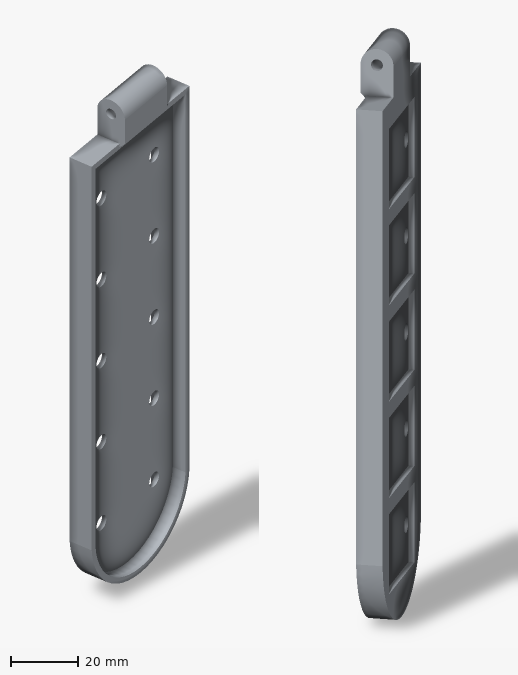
import cadquery as cq

total_height = 180.0
plate_thickness = 8.1
plate_width = 50.0
round_height = 23.2
shoulder_drop = 14.8
shoulder_z = total_height - shoulder_drop

tab_thickness = 10.0
tab_width = 21.6
tab_radius = tab_thickness / 2
pin_z = total_height - tab_radius
pin_hole_diameter = 3.6
tab_overhang = tab_thickness - plate_thickness
overhang_bottom_z = total_height - 16.0

pocket_count = 5
pocket_width = 33.1
pocket_height = 25.0
pocket_depth = 1.8
pocket_pitch = 30.0
pocket_top_margin = 8.1
top_pocket_z = shoulder_z - pocket_top_margin - pocket_height / 2
web_thickness = 1.6
screw_hole_diameter = 5.0
screw_hole_spacing = 27.0

front_wall_thickness = pocket_depth + web_thickness
rim_thickness = 2.0


def make_plate_outline():
    """Closed plate outline in YZ, starting on the front face X = 0."""
    half_width = plate_width / 2
    return (
        cq.Workplane("YZ")
        .moveTo(-half_width, shoulder_z)
        .lineTo(-half_width, round_height)
        .threePointArc((0, 0), (half_width, round_height))
        .lineTo(half_width, shoulder_z)
        .close()
    )


def make_plate():
    """Plate hollowed from the back, leaving a front wall and an even rim."""
    solid = make_plate_outline().extrude(plate_thickness)
    hollow = make_plate_outline().offset2D(-rim_thickness).extrude(plate_thickness)
    return solid.cut(hollow.translate((front_wall_thickness, 0, 0)))


def make_tab():
    """Hinge tab profile in XZ, centred on the plate width and bored for the pin."""
    profile = (
        cq.Workplane("XZ")
        .moveTo(0, overhang_bottom_z)
        .lineTo(0, pin_z)
        .threePointArc((tab_radius, total_height), (tab_thickness, pin_z))
        .lineTo(tab_thickness, overhang_bottom_z + tab_overhang)
        .lineTo(plate_thickness, overhang_bottom_z)
        .close()
        .extrude(tab_width / 2, both=True)
    )
    pin_hole = (
        cq.Workplane("XZ")
        .center(tab_radius, pin_z)
        .circle(pin_hole_diameter / 2)
        .extrude(tab_width, both=True)
    )
    return profile.cut(pin_hole)


def make_pocket_cut(center_z):
    """Pocket recess in the front face together with its two through holes."""
    face = cq.Workplane("YZ").center(0, center_z)
    recess = face.rect(pocket_width, pocket_height).extrude(pocket_depth)
    half_spacing = screw_hole_spacing / 2
    holes = (
        face.pushPoints([(-half_spacing, 0), (half_spacing, 0)])
        .circle(screw_hole_diameter / 2)
        .extrude(plate_thickness)
    )
    return recess.union(holes)


result = make_plate().union(make_tab())
for index in range(pocket_count):
    result = result.cut(make_pocket_cut(top_pocket_z - index * pocket_pitch))